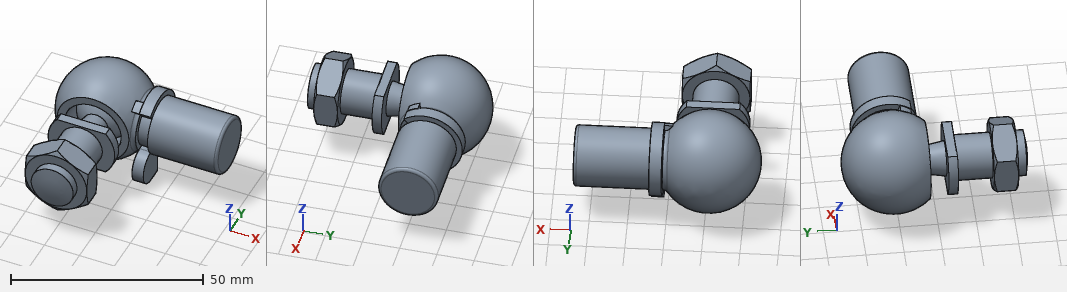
import cadquery as cq
import math


housing_radius = 13.55
shank_radius = 16.0 / 2
overall_length = 48.6
shank_end = overall_length - housing_radius
shank_end_fillet = 0.85
neck_fillet = 1.5
mouth_y = -8.85

ball_radius = shank_radius
socket_radius = 8.05
socket_floor_y = -0.95
stud_neck_ball_radius = 3.5
stud_neck_collar_radius = 4.65
stud_neck_start_y = -6.8
collar_start_y = -13.55
collar_thickness = 2.55
collar_radius = 9.53
collar_across_flats = 13.02
stud_radius = 12.0 / 2
stud_tip_y = housing_radius - overall_length
dome_height = 0.75

nut_start_y = -25.5
nut_thickness = 6.4
nut_across_flats = 17.7
nut_face_radius = 8.8
nut_chamfer_angle = 30

clip_start_x = 11.95
clip_width = 3.25
clip_end_x = clip_start_x + clip_width
groove_start_x = 11.8
groove_radius = 6.5
clip_radius = 9.55
clip_end_angle = 50.5
clip_hidden_end_angle = -60
lug_angle = 20
lug_start_x = 9.7
lug_radius = 9.45
tab_radius = 4.8
tab_center_y = -5.85
tab_center_z = -2 * tab_radius
tab_back_y = -1.6


def cylinder_x(radius, start, end):
    return cq.Workplane("YZ", origin=(start, 0, 0)).circle(radius).extrude(end - start)


def cylinder_y(radius, start, end):
    """Cylinder running towards -Y from start to end."""
    return cq.Workplane("XZ", origin=(0, start, 0)).circle(radius).extrude(start - end)


def clip_sector(outer_radius, start_x, end_x, start_angle, end_angle):
    """Part of the clip ring between two angles, with radial end faces."""
    def point(radius, angle):
        turn = math.radians(angle)
        return (-radius * math.cos(turn), radius * math.sin(turn))

    middle_angle = (start_angle + end_angle) / 2
    return (
        cq.Workplane("YZ", origin=(start_x, 0, 0))
        .moveTo(*point(groove_radius, start_angle))
        .lineTo(*point(outer_radius, start_angle))
        .threePointArc(point(outer_radius, middle_angle), point(outer_radius, end_angle))
        .lineTo(*point(groove_radius, end_angle))
        .threePointArc(point(groove_radius, middle_angle), point(groove_radius, start_angle))
        .close()
        .extrude(end_x - start_x)
    )


def make_housing():
    fillet_y = shank_radius + neck_fillet
    fillet_x = math.sqrt((housing_radius + neck_fillet) ** 2 - fillet_y**2)
    touch = housing_radius / (housing_radius + neck_fillet)
    to_ball = math.atan2(-fillet_y, -fillet_x)
    middle = (to_ball - math.pi / 2) / 2
    fillet_middle = (fillet_x + neck_fillet * math.cos(middle), fillet_y + neck_fillet * math.sin(middle))

    body = (
        cq.Workplane("XY")
        .moveTo(-housing_radius, 0)
        .threePointArc((0, housing_radius), (fillet_x * touch, fillet_y * touch))
        .threePointArc(fillet_middle, (fillet_x, shank_radius))
        .lineTo(shank_end, shank_radius)
        .lineTo(shank_end, 0)
        .close()
        .revolve(360, (0, 0, 0), (1, 0, 0))
        .faces(">X")
        .edges()
        .fillet(shank_end_fillet)
    )
    body = body.cut(cylinder_y(housing_radius, mouth_y, -housing_radius))
    body = body.cut(cylinder_y(socket_radius, socket_floor_y, mouth_y))
    groove = cylinder_x(housing_radius, groove_start_x, clip_end_x)
    groove = groove.cut(cylinder_x(groove_radius, groove_start_x, clip_end_x))
    return body.cut(groove)


def make_stud():
    ball = cq.Workplane("XY").sphere(ball_radius)
    collar_end_y = collar_start_y - collar_thickness
    collar = cylinder_y(collar_radius, collar_start_y, collar_end_y)
    flats = cq.Workplane("XY").box(2 * collar_radius, -2 * collar_end_y, collar_across_flats)
    collar = collar.intersect(flats)
    dome_radius = (stud_radius**2 + dome_height**2) / (2 * dome_height)
    half_angle = math.asin(stud_radius / dome_radius) / 2
    dome_middle = (
        dome_radius * math.sin(half_angle),
        stud_tip_y + dome_radius * (1 - math.cos(half_angle)),
    )
    shaft = (
        cq.Workplane("XY")
        .moveTo(0, stud_neck_start_y)
        .lineTo(stud_neck_ball_radius, stud_neck_start_y)
        .lineTo(stud_neck_collar_radius, collar_start_y)
        .lineTo(stud_neck_collar_radius, collar_end_y)
        .lineTo(stud_radius, collar_end_y)
        .lineTo(stud_radius, stud_tip_y + dome_height)
        .threePointArc(dome_middle, (0, stud_tip_y))
        .close()
        .revolve(360, (0, 0, 0), (0, 1, 0))
    )
    return ball.union(collar).union(shaft)


def make_nut():
    corner_radius = nut_across_flats / math.sqrt(3)
    chamfer_depth = (corner_radius - nut_face_radius) * math.tan(math.radians(nut_chamfer_angle))
    nut_end_y = nut_start_y - nut_thickness
    hexagon = (
        cq.Workplane("XZ", origin=(0, nut_start_y, 0))
        .transformed(rotate=(0, 0, 90))
        .polygon(6, 2 * corner_radius)
        .extrude(nut_thickness)
    )
    chamfer_envelope = (
        cq.Workplane("XY")
        .moveTo(0, nut_start_y)
        .lineTo(nut_face_radius, nut_start_y)
        .lineTo(corner_radius, nut_start_y - chamfer_depth)
        .lineTo(corner_radius, nut_end_y + chamfer_depth)
        .lineTo(nut_face_radius, nut_end_y)
        .lineTo(0, nut_end_y)
        .close()
        .revolve(360, (0, 0, 0), (0, 1, 0))
    )
    return hexagon.intersect(chamfer_envelope)


def make_clip():
    ring = clip_sector(clip_radius, clip_start_x, clip_end_x, clip_end_angle, 360 + clip_hidden_end_angle)
    lug = clip_sector(lug_radius, lug_start_x, clip_start_x, clip_end_angle, clip_end_angle + lug_angle)
    tab = (
        cq.Workplane("YZ", origin=(clip_start_x, 0, 0))
        .moveTo(tab_back_y, tab_center_z - tab_radius)
        .lineTo(tab_center_y, tab_center_z - tab_radius)
        .threePointArc(
            (tab_center_y - tab_radius, tab_center_z),
            (tab_center_y, tab_center_z + tab_radius),
        )
        .lineTo(tab_back_y, tab_center_z + tab_radius)
        .close()
        .extrude(clip_width)
    )
    return ring.union(lug).union(tab)


result = make_housing().union(make_stud()).union(make_nut()).union(make_clip())